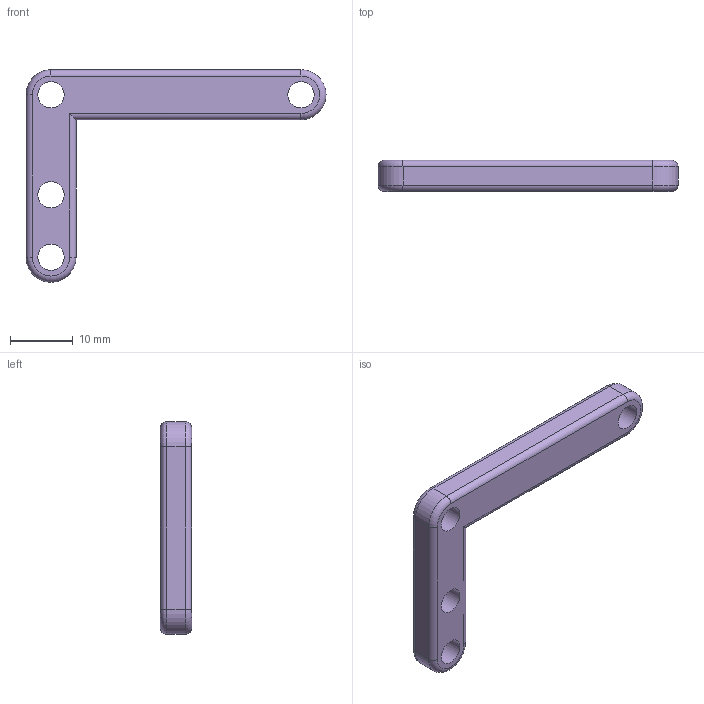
import cadquery as cq
import math

arm_width = 8.0
thickness = 5.0
long_span = 40.0
short_span = 26.0
middle_hole_drop = 16.0
hole_diameter = 4.2
edge_radius = 1.0

back_face = (0, thickness / 2, 0)
end_radius = arm_width / 2
hole_centres = [
    (0, 0),
    (long_span, 0),
    (0, -middle_hole_drop),
    (0, -short_span),
]


def make_bracket_body():
    """L-shaped plate with rounded arm ends and a rounded outer corner."""
    r = end_radius
    diagonal = r / math.sqrt(2)
    return (
        cq.Workplane("XZ", origin=back_face)
        .moveTo(0, r)
        .lineTo(long_span, r)
        .threePointArc((long_span + r, 0), (long_span, -r))
        .lineTo(r, -r)
        .lineTo(r, -short_span)
        .threePointArc((0, -short_span - r), (-r, -short_span))
        .lineTo(-r, 0)
        .threePointArc((-diagonal, diagonal), (0, r))
        .close()
        .extrude(thickness)
    )


def round_face_edges(body):
    """Round the outline of the two large faces."""
    return body.faces("<Y or >Y").edges().fillet(edge_radius)


def drill_holes(body):
    """Cut the through holes, leaving their rims sharp."""
    holes = (
        cq.Workplane("XZ", origin=back_face)
        .pushPoints(hole_centres)
        .circle(hole_diameter / 2)
        .extrude(thickness)
    )
    return body.cut(holes)


result = drill_holes(round_face_edges(make_bracket_body()))